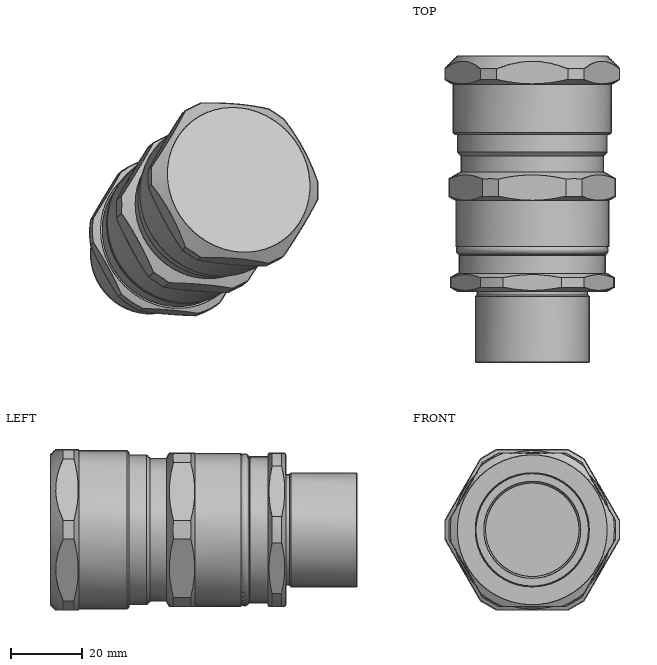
import cadquery as cq
import math


TUBE_TIP = 0.0
TUBE_END = 18.5
NECK_START = 19.0
ENTRY_NUT_FRONT = 20.0
ENTRY_NUT_BACK = 25.0
ENTRY_BODY_BACK = 30.0
SEAL_RING_CENTRE = 31.6
MIDDLE_BODY_FRONT = 32.6
MIDDLE_NUT_FRONT = 45.5
MIDDLE_NUT_BACK = 53.5
COLLAR_FRONT = 58.0
SLEEVE_FRONT = 64.0
CAP_NUT_FRONT = 78.0
CAP_NUT_BACK = 86.0

TUBE_DIAMETER = 32.0
NECK_DIAMETER = 31.0
BORE_DIAMETER = 26.2
ENTRY_BODY_DIAMETER = 41.0
SEAL_RING_DIAMETER = 42.6
SEAL_RING_SECTION = 2.6
MIDDLE_BODY_DIAMETER = 42.9
GROOVE_DIAMETER = 40.0
COLLAR_DIAMETER = 42.0
SLEEVE_DIAMETER = 44.4

TUBE_CHAMFER = 0.25
BORE_CHAMFER = 0.5
COLLAR_CHAMFER = 1.0
SLEEVE_CHAMFER = 0.5

HALF_HEXAGON_STEP = 30.0
SMALL_NUT_FLATS = 43.0
CAP_NUT_FLATS = 45.0
CORNER_CUT = 1.5
ENTRY_NUT_CORNER_DIAMETER = 46.0
ENTRY_NUT_FACE_DIAMETER = 42.0
CAP_NUT_FACE_DIAMETER = 42.0
NUT_BEVEL = 30.0
CAP_BEVEL = 45.0

BORE_DEPTH = ENTRY_NUT_BACK - TUBE_TIP


def corner_distance(across_flats):
    """Distance from the axis to a sharp corner of a hexagon."""
    return across_flats / 2 / math.cos(math.radians(HALF_HEXAGON_STEP))


def prism(polygon_radius, front, back, turn=0.0):
    """Hexagonal prism along Y; with no turn, two corners lie on the X axis."""
    return (
        cq.Workplane("XZ", origin=(0, front, 0))
        .polygon(6, 2 * polygon_radius)
        .extrude(front - back)
        .rotate((0, 0, 0), (0, 1, 0), turn)
    )


def cylinder(diameter, front, back):
    """Round bar along Y."""
    return cq.Workplane("XZ", origin=(0, front, 0)).circle(diameter / 2).extrude(front - back)


def bevel_envelope(outer, front, back, front_face, back_face, front_bevel, back_bevel):
    """Round blank whose ends taper from the outer radius down to the two face diameters."""
    front_radius = front_face / 2
    back_radius = back_face / 2
    front_rise = (outer - front_radius) * math.tan(math.radians(front_bevel))
    back_rise = (outer - back_radius) * math.tan(math.radians(back_bevel))
    return (
        cq.Workplane("XY")
        .moveTo(0, front)
        .lineTo(front_radius, front)
        .lineTo(outer, front + front_rise)
        .lineTo(outer, back - back_rise)
        .lineTo(back_radius, back)
        .lineTo(0, back)
        .close()
        .revolve(360, (0, 0, 0), (0, 1, 0))
    )


def entry_nut():
    """Bevelled hexagon whose six corners are turned round."""
    envelope = bevel_envelope(
        ENTRY_NUT_CORNER_DIAMETER / 2,
        ENTRY_NUT_FRONT,
        ENTRY_NUT_BACK,
        ENTRY_NUT_FACE_DIAMETER,
        ENTRY_NUT_FACE_DIAMETER,
        NUT_BEVEL,
        NUT_BEVEL,
    )
    return envelope.intersect(prism(corner_distance(SMALL_NUT_FLATS), ENTRY_NUT_FRONT, ENTRY_NUT_BACK))


def flat_cornered_nut(across_flats, front, back, front_face, back_face, back_bevel):
    """Bevelled hexagon whose six corners are cut flat."""
    sharp = corner_distance(across_flats)
    blank = prism(sharp, front, back)
    corner_cutter = prism(corner_distance(2 * (sharp - CORNER_CUT)), front, back, HALF_HEXAGON_STEP)
    envelope = bevel_envelope(sharp, front, back, front_face, back_face, NUT_BEVEL, back_bevel)
    return blank.intersect(corner_cutter).intersect(envelope)


def middle_nut():
    """Nut whose bevels start from the round sections on either side."""
    return flat_cornered_nut(
        SMALL_NUT_FLATS,
        MIDDLE_NUT_FRONT,
        MIDDLE_NUT_BACK,
        MIDDLE_BODY_DIAMETER,
        GROOVE_DIAMETER,
        NUT_BEVEL,
    )


def cap_nut():
    """Rearmost and largest nut, with a steeper bevel on its free face."""
    return flat_cornered_nut(
        CAP_NUT_FLATS,
        CAP_NUT_FRONT,
        CAP_NUT_BACK,
        SLEEVE_DIAMETER,
        CAP_NUT_FACE_DIAMETER,
        CAP_BEVEL,
    )


def entry_tube():
    """Chamfered entry tube with an undercut neck behind it."""
    neck_step = NECK_START - TUBE_END
    tube = cylinder(TUBE_DIAMETER, TUBE_TIP, NECK_START)
    tube = tube.faces("<Y").chamfer(TUBE_CHAMFER).faces(">Y").chamfer(neck_step)
    return tube.union(cylinder(NECK_DIAMETER, TUBE_END, ENTRY_NUT_FRONT))


def seal_ring():
    """O-ring of round section, seated on a solid core that reaches its section centre."""
    section_radius = SEAL_RING_SECTION / 2
    centre_radius = SEAL_RING_DIAMETER / 2 - section_radius
    ring = (
        cq.Workplane("XY")
        .center(-centre_radius, SEAL_RING_CENTRE)
        .circle(section_radius)
        .revolve(360, (centre_radius, 0, 0), (centre_radius, 1, 0))
    )
    return cylinder(2 * centre_radius, ENTRY_BODY_BACK, MIDDLE_BODY_FRONT).union(ring)


def middle_sections():
    """Plain and chamfered round sections between the nuts."""
    entry_body = cylinder(ENTRY_BODY_DIAMETER, ENTRY_NUT_BACK, ENTRY_BODY_BACK)
    middle_body = cylinder(MIDDLE_BODY_DIAMETER, MIDDLE_BODY_FRONT, MIDDLE_NUT_FRONT)
    groove = cylinder(GROOVE_DIAMETER, MIDDLE_NUT_BACK, COLLAR_FRONT)
    collar = cylinder(COLLAR_DIAMETER, COLLAR_FRONT, SLEEVE_FRONT).faces("<Y").chamfer(COLLAR_CHAMFER)
    sleeve = cylinder(SLEEVE_DIAMETER, SLEEVE_FRONT, CAP_NUT_FRONT).faces("<Y").chamfer(SLEEVE_CHAMFER)
    return [entry_body, seal_ring(), middle_body, groove, collar, sleeve]


def entry_bore():
    """Blind bore with a chamfered mouth."""
    bore_radius = BORE_DIAMETER / 2
    return (
        cq.Workplane("XY")
        .moveTo(0, TUBE_TIP)
        .lineTo(bore_radius + BORE_CHAMFER, TUBE_TIP)
        .lineTo(bore_radius, TUBE_TIP + BORE_CHAMFER)
        .lineTo(bore_radius, TUBE_TIP + BORE_DEPTH)
        .lineTo(0, TUBE_TIP + BORE_DEPTH)
        .close()
        .revolve(360, (0, 0, 0), (0, 1, 0))
    )


gland = entry_tube()
for section in [entry_nut(), *middle_sections(), middle_nut(), cap_nut()]:
    gland = gland.union(section)

result = gland.cut(entry_bore())